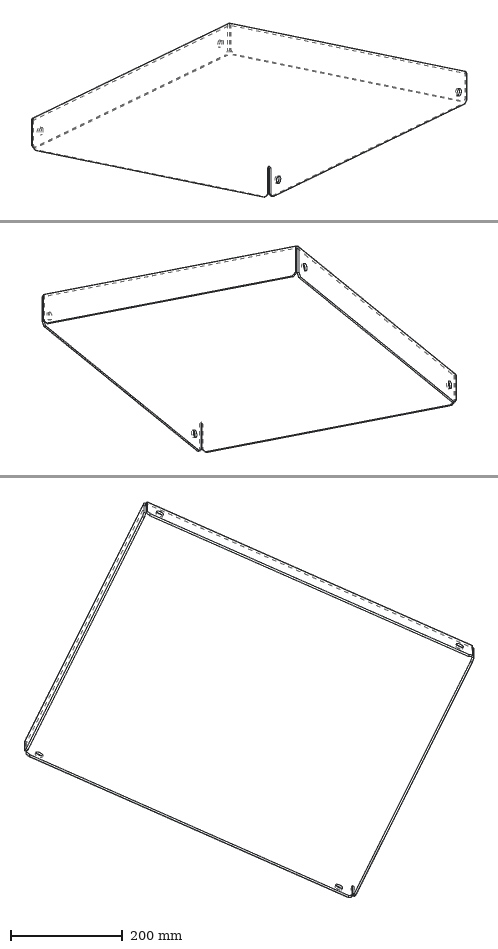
import cadquery as cq

length_x = 510.5
length_y = 652.0
height = 59.0

thickness = 4.0
bend_radius = 5.0
inner_bend_radius = bend_radius - thickness

corner_notch = 4.5
flange_corner_chamfer = 6.5

hole_diameter = 14.0
hole_end_distance = 30.0
hole_height = 27.0


def rounded_block(size_x, size_y, size_z, radius):
    """Block standing on Z = 0 with its four top edges rounded."""
    block = cq.Workplane("XY").box(size_x, size_y, size_z, centered=(True, True, False))
    across_x = block.edges("|Y and >Z").fillet(radius)
    across_y = block.edges("|X and >Z").fillet(radius)
    return across_x.intersect(across_y)


def folded_sheet():
    """Thin-walled tray whose bends meet in mitres at the corners."""
    outside = rounded_block(length_x, length_y, height, bend_radius)
    inside = rounded_block(
        length_x - 2 * thickness,
        length_y - 2 * thickness,
        height - thickness,
        inner_bend_radius,
    )
    return outside.cut(inside)


def corner_notches():
    """Square posts that separate the flanges at the four corners."""
    return (
        cq.Workplane("XY")
        .rect(length_x, length_y, forConstruction=True)
        .vertices()
        .rect(2 * corner_notch, 2 * corner_notch)
        .extrude(height)
    )


def mounting_holes():
    """Two cylinders along X that pierce both long flanges."""
    spacing = length_y - 2 * hole_end_distance
    return (
        cq.Workplane("YZ")
        .center(0, hole_height)
        .rarray(spacing, 6.5, 2, 1)
        .circle(hole_diameter / 2)
        .extrude(length_x / 2, both=True)
    )


def chamfer_flange_corners(sheet):
    """Chamfer the lower corners of all four flanges."""
    bottom = sheet.faces("<Z").edges()
    short_edges = bottom.filter(lambda edge: edge.Length() < 2 * thickness)
    return short_edges.chamfer(flange_corner_chamfer)


tray = folded_sheet().cut(corner_notches())
result = chamfer_flange_corners(tray).cut(mounting_holes())